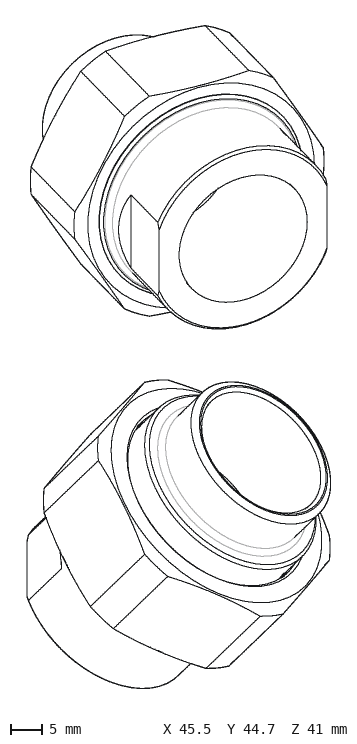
import cadquery as cq
import math


total_length = 45.5
bore_radius = 22.9 / 2
barrel_radius = 33.0 / 2
joint_radius = 36.35 / 2
neck_fillet = 0.9

nut_start = 13.45
nut_end = 30.55
nut_across_flats = 41.0
nut_corner_radius = 44.7 / 2
nut_face_radius = 20.25
nut_bevel_length = 0.75
nut_hole_radius = 33.5 / 2
nut_hole_chamfer = 0.45
nut_lip_thickness = 2.75

pipe_radius = 26.9 / 2
pipe_end_radius = 24.6 / 2
pipe_bevel_length = 0.75
mouth_radius = 24.1 / 2
mouth_depth = mouth_radius - bore_radius
shoulder_start = 8.9
shoulder_chamfer = 0.55
flange_start = nut_start + nut_lip_thickness
flange_thickness = 2.75

body_start = flange_start + flange_thickness
collar_end = 30.95
collar_chamfer = 0.55
body_end_chamfer = 0.45
wrench_flat_distance = 15.0
wrench_flat_start = 35.5
wrench_ramp = barrel_radius - wrench_flat_distance


def revolve_about_x(profile):
    """Revolve a closed (x, radius) profile about the X axis."""
    return profile.close().revolve(360, (0, 0, 0), (1, 0, 0))


def fillet_middle(radius):
    """Offset of the middle of a quarter arc from each of its tangent lines."""
    return radius * (1 - math.sqrt(0.5))


def make_tailpiece():
    fillet_mid = fillet_middle(neck_fillet)
    profile = (
        cq.Workplane("XY")
        .moveTo(mouth_depth, bore_radius)
        .lineTo(0, mouth_radius)
        .lineTo(0, pipe_end_radius)
        .lineTo(pipe_bevel_length, pipe_radius)
        .lineTo(shoulder_start - neck_fillet, pipe_radius)
        .threePointArc(
            (shoulder_start - fillet_mid, pipe_radius + fillet_mid),
            (shoulder_start, pipe_radius + neck_fillet),
        )
        .lineTo(shoulder_start, barrel_radius - shoulder_chamfer)
        .lineTo(shoulder_start + shoulder_chamfer, barrel_radius)
        .lineTo(flange_start, barrel_radius)
        .lineTo(flange_start, joint_radius)
        .lineTo(body_start, joint_radius)
        .lineTo(body_start, bore_radius)
    )
    return revolve_about_x(profile)


def make_nut():
    blank = revolve_about_x(
        cq.Workplane("XY")
        .moveTo(nut_start, 0)
        .lineTo(nut_start, nut_face_radius)
        .lineTo(nut_start + nut_bevel_length, nut_corner_radius)
        .lineTo(nut_end - nut_bevel_length, nut_corner_radius)
        .lineTo(nut_end, nut_face_radius)
        .lineTo(nut_end, 0)
    )
    across_corners = nut_across_flats / math.cos(math.radians(30))
    hexagon = (
        cq.Workplane("YZ", origin=(nut_start, 0, 0))
        .polygon(6, across_corners)
        .extrude(nut_end - nut_start)
    )
    cavity = revolve_about_x(
        cq.Workplane("XY")
        .moveTo(nut_start, 0)
        .lineTo(nut_start, nut_hole_radius + nut_hole_chamfer)
        .lineTo(nut_start + nut_hole_chamfer, nut_hole_radius)
        .lineTo(flange_start, nut_hole_radius)
        .lineTo(flange_start, joint_radius)
        .lineTo(nut_end, joint_radius)
        .lineTo(nut_end, 0)
    )
    return hexagon.intersect(blank).cut(cavity)


def make_wrench_cut(side):
    """Cutter for one wrench flat; side is +1 or -1 along Y."""
    return (
        cq.Workplane("XY")
        .moveTo(wrench_flat_start - wrench_ramp, side * barrel_radius)
        .lineTo(wrench_flat_start, side * wrench_flat_distance)
        .lineTo(total_length, side * wrench_flat_distance)
        .lineTo(total_length, side * barrel_radius)
        .close()
        .extrude(barrel_radius, both=True)
    )


def make_body():
    fillet_mid = fillet_middle(neck_fillet)
    profile = (
        cq.Workplane("XY")
        .moveTo(body_start, bore_radius)
        .lineTo(body_start, joint_radius)
        .lineTo(collar_end - collar_chamfer, joint_radius)
        .lineTo(collar_end, joint_radius - collar_chamfer)
        .lineTo(collar_end, barrel_radius + neck_fillet)
        .threePointArc(
            (collar_end + fillet_mid, barrel_radius + fillet_mid),
            (collar_end + neck_fillet, barrel_radius),
        )
        .lineTo(total_length - body_end_chamfer, barrel_radius)
        .lineTo(total_length, barrel_radius - body_end_chamfer)
        .lineTo(total_length, bore_radius)
    )
    body = revolve_about_x(profile)
    for side in (-1, 1):
        body = body.cut(make_wrench_cut(side))
    return body


tailpiece = make_tailpiece()
nut = make_nut()
body = make_body()

result = cq.Compound.makeCompound([tailpiece.val(), nut.val(), body.val()])